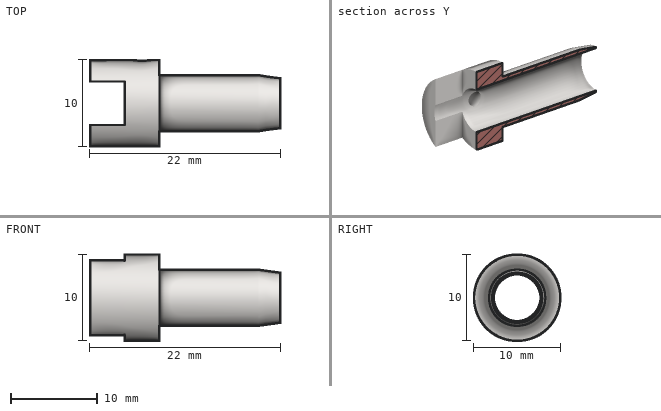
import cadquery as cq

total_length = 22.0
head_length = 8.0
tip_length = 2.5

head_diameter = 10.0
shank_diameter = 6.51
tip_diameter = 5.8
bore_diameter = 5.4

slot_width = 5.0
slot_depth = head_length / 2

side_hole_diameter = 1.8
side_hole_x = (slot_depth + head_length) / 2


def turned_body():
    """Stepped outside profile with a tapered tip, revolved about X."""
    profile = (
        cq.Workplane("XZ")
        .moveTo(0, 0)
        .lineTo(0, head_diameter / 2)
        .lineTo(head_length, head_diameter / 2)
        .lineTo(head_length, shank_diameter / 2)
        .lineTo(total_length - tip_length, shank_diameter / 2)
        .lineTo(total_length, tip_diameter / 2)
        .lineTo(total_length, 0)
        .close()
    )
    return profile.revolve(360, (0, 0, 0), (1, 0, 0))


def through_bore():
    """Plain bore running the full length."""
    return cq.Workplane("YZ").circle(bore_diameter / 2).extrude(total_length)


def head_slot():
    """Slot through the head along Z, open toward -X."""
    return cq.Workplane("XY").box(
        slot_depth, slot_width, head_diameter, centered=(False, True, True)
    )


def side_hole():
    """Round hole from the bore out through the +Y wall of the head."""
    return (
        cq.Workplane("XZ")
        .center(side_hole_x, 0)
        .circle(side_hole_diameter / 2)
        .extrude(-head_diameter / 2)
    )


result = turned_body().cut(through_bore()).cut(head_slot()).cut(side_hole())